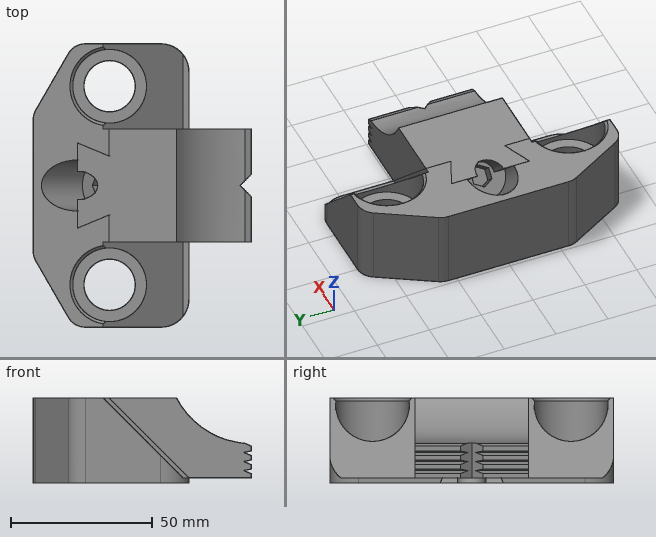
import cadquery as cq
import math

base_length = 55.0
base_width = 100.0
height = 30.0
rear_face_width = 50.0
rear_corner_angle = 30.0
rear_corner_radius = 7.0
front_corner_radius = 10.0

ramp_top_x = 24.7
seat_top_x = 26.8
ledge_height = 1.8

mount_x = 27.0
mount_y = 35.0
mount_diameter = 18.0
mount_bore_diameter = 26.0
mount_bore_floor = 12.8
mount_chamfer = 1.0

jaw_width = 40.0
jaw_tip_x = 77.0
jaw_top_end_x = 50.6
jaw_scoop_radius = 30.0
scoop_end_x = 74.8
scoop_end_z = 14.0
tip_top_z = 13.0

tooth_count = 3
tooth_root_x = 74.4
first_root_z = 10.8
tooth_pitch = 3.2
groove_rise = 0.5
groove_drop = 1.1

notch_depth = 4.0

dovetail_rear_x = 15.7
dovetail_neck_half_width = 10.4
dovetail_rear_half_width = 15.0

base_bore_diameter = 18.0
jaw_groove_diameter = 10.0
bore_depth = 11.4
socket_across_flats = 7.0
socket_depth = 5.0

slope_axis = cq.Vector(1, 0, -1).normalized()
slope_overrun = 20.0


def ramp_cutter(top_x, width):
    """Material above a 45 degree slope, down to the ledge."""
    slope_run = height - ledge_height
    far_x = top_x + slope_run + base_length
    return (
        cq.Workplane("XZ")
        .moveTo(top_x, height)
        .lineTo(top_x + slope_run, ledge_height)
        .lineTo(far_x, ledge_height)
        .lineTo(far_x, height)
        .close()
        .extrude(width / 2, both=True)
    )


def dovetail_prism():
    """Dovetail section at the top face, swept down the slope through the underside."""
    section = (
        cq.Workplane("XY")
        .workplane(offset=height)
        .polyline([
            (dovetail_rear_x, -dovetail_rear_half_width),
            (seat_top_x, -dovetail_neck_half_width),
            (seat_top_x, dovetail_neck_half_width),
            (dovetail_rear_x, dovetail_rear_half_width),
        ])
        .close()
        .wires()
        .val()
    )
    face = cq.Face.makeFromWires(section)
    return cq.Workplane(cq.Solid.extrudeLinear(face, cq.Vector(height, 0, -height)))


def sloping_cylinder(diameter, start_depth, end_depth):
    """Cylinder on the sloping bore axis, between two depths from the top face."""
    top_point = cq.Vector(dovetail_rear_x, 0, height)
    start = top_point + slope_axis * start_depth
    return cq.Workplane(
        cq.Solid.makeCylinder(diameter / 2, end_depth - start_depth, start, slope_axis)
    )


def jaw_groove():
    """Half-round groove that runs the whole length of the dovetail's rear face."""
    slope_length = height * math.sqrt(2)
    return sloping_cylinder(jaw_groove_diameter, -slope_overrun, slope_length + slope_overrun)


def hex_socket():
    """Hexagonal recess in the bore floor, with one corner toward the rear."""
    floor_centre = cq.Vector(dovetail_rear_x, 0, height) + slope_axis * bore_depth
    across_corners = socket_across_flats / math.cos(math.radians(30))
    floor_plane = cq.Plane(origin=floor_centre, xDir=(1, 0, 1), normal=slope_axis)
    return cq.Workplane(floor_plane).polygon(6, across_corners).extrude(socket_depth)


def mounting_hole(y):
    """Through hole with a flat counterbore and a chamfered mouth."""
    bore_radius = mount_bore_diameter / 2
    mouth_radius = bore_radius + mount_chamfer
    return (
        cq.Workplane("XZ", origin=(mount_x, y, 0))
        .polyline([
            (0, 0),
            (mount_diameter / 2, 0),
            (mount_diameter / 2, mount_bore_floor),
            (bore_radius, mount_bore_floor),
            (bore_radius, height - mount_chamfer),
            (mouth_radius, height),
            (0, height),
        ])
        .close()
        .revolve(360, (0, 0, 0), (0, 1, 0))
    )


def make_base():
    half_width = base_width / 2
    rear_half = rear_face_width / 2
    rear_run = (half_width - rear_half) * math.tan(math.radians(rear_corner_angle))
    block = (
        cq.Workplane("XY")
        .polyline([
            (0, -rear_half),
            (rear_run, -half_width),
            (base_length, -half_width),
            (base_length, half_width),
            (rear_run, half_width),
            (0, rear_half),
        ])
        .close()
        .extrude(height)
    )
    block = block.edges("|Z and >X").fillet(front_corner_radius)
    rear_edges = cq.selectors.BoxSelector(
        (-1, -half_width - 1, 0), (rear_run + 1, half_width + 1, height)
    )
    block = block.edges("|Z").edges(rear_edges).fillet(rear_corner_radius)

    seat_strip = cq.Workplane("XY").box(
        2 * base_length, jaw_width, height, centered=(True, True, False)
    )
    side_ramps = ramp_cutter(ramp_top_x, base_width).cut(seat_strip)
    block = block.cut(side_ramps).cut(ramp_cutter(seat_top_x, jaw_width))

    for side in (-1, 1):
        block = block.cut(mounting_hole(side * mount_y))

    block = block.cut(dovetail_prism().cut(jaw_groove()))
    block = block.cut(sloping_cylinder(base_bore_diameter, -slope_overrun, bore_depth))
    return block.cut(hex_socket())


def tooth_groove(root_z):
    """V-groove across the whole jaw tip."""
    return (
        cq.Workplane("XZ")
        .polyline([
            (tooth_root_x, root_z),
            (jaw_tip_x, root_z + groove_rise),
            (jaw_tip_x, root_z - groove_drop),
        ])
        .close()
        .extrude(jaw_width / 2, both=True)
    )


def tip_notch():
    """Right-angled vertical notch in the middle of the jaw tip."""
    return (
        cq.Workplane("XY")
        .polyline([
            (jaw_tip_x - notch_depth, 0),
            (jaw_tip_x, -notch_depth),
            (jaw_tip_x, notch_depth),
        ])
        .close()
        .extrude(height)
    )


def make_jaw():
    seat_bottom_x = seat_top_x + height - ledge_height
    body = (
        cq.Workplane("XZ")
        .moveTo(seat_top_x, height)
        .lineTo(jaw_top_end_x, height)
        .radiusArc((scoop_end_x, scoop_end_z), -jaw_scoop_radius)
        .lineTo(jaw_tip_x, tip_top_z)
        .lineTo(jaw_tip_x, ledge_height)
        .lineTo(seat_bottom_x, ledge_height)
        .close()
        .extrude(jaw_width / 2, both=True)
    )
    for index in range(tooth_count):
        body = body.cut(tooth_groove(first_root_z - index * tooth_pitch))
    body = body.cut(tip_notch())

    below_jaw = cq.Workplane("XY").box(
        2 * jaw_tip_x, base_width, ledge_height, centered=(True, True, False)
    )
    tenon = dovetail_prism().cut(below_jaw)
    return body.union(tenon).cut(jaw_groove())


base = make_base()
jaw = make_jaw()

result = cq.Compound.makeCompound([base.val(), jaw.val()])